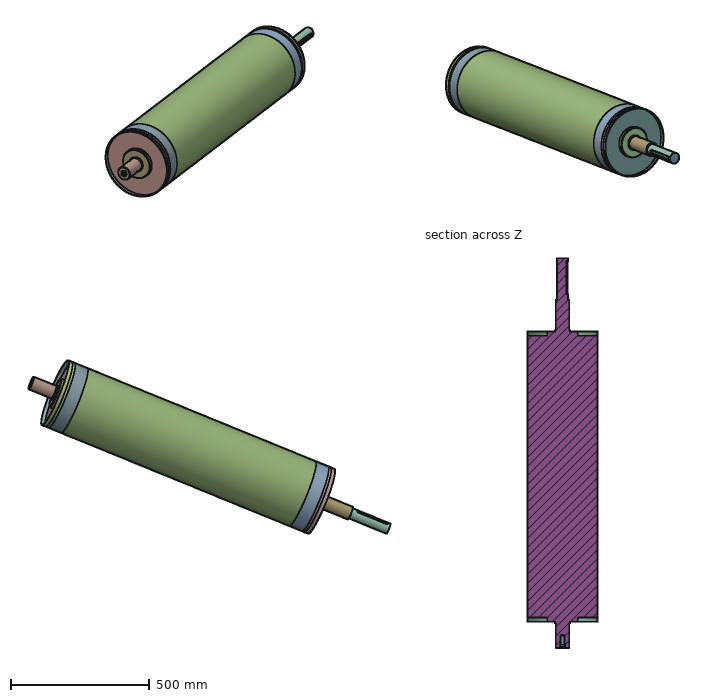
import cadquery as cq
import math

DRUM_LENGTH = 1050.0
DRUM_DIAMETER = 254.0
RIM_WIDTH = 25.0
BAND_WIDTH = 50.0
BAND_DIAMETER = 253.98

RECESS_DIAMETER = 250.0
RECESS_DEPTH = 15.0
HUB_DIAMETER = 112.0
HUB_CHAMFER = 2.0

COLLAR_DIAMETER = 55.0
COLLAR_PROJECTION = 5.0
JOURNAL_DIAMETER = 50.0
IDLE_JOURNAL_LENGTH = 90.0
DRIVE_JOURNAL_LENGTH = 110.0
DRIVE_END_DIAMETER = 40.0
DRIVE_END_LENGTH = 150.0
SHAFT_END_CHAMFER = 2.0

KEYWAY_WIDTH = 12.0
KEYWAY_DEPTH = 5.0
KEYWAY_LENGTH = 120.0
KEYWAY_END_DISTANCE = 10.0

COUNTERSINK_DIAMETER = 22.8
COUNTERSINK_ANGLE = 60.0
ENTRY_DIAMETER = 17.0
ENTRY_DEPTH = 12.0
CORE_DIAMETER = 13.84
CORE_DEPTH = 45.0
DRILL_POINT_ANGLE = 120.0

CUT_CLEARANCE = 1.0

HALF_DRUM = DRUM_LENGTH / 2
COLLAR_END = HALF_DRUM + COLLAR_PROJECTION
IDLE_SHAFT_END = -(COLLAR_END + IDLE_JOURNAL_LENGTH)
DRIVE_JOURNAL_END = COLLAR_END + DRIVE_JOURNAL_LENGTH
DRIVE_SHAFT_END = DRIVE_JOURNAL_END + DRIVE_END_LENGTH


def cylinder(diameter, y_start, y_end):
    """Solid cylinder on the Y axis between two Y positions."""
    axis = cq.Vector(0, 1, 0)
    start = cq.Vector(0, y_start, 0)
    return cq.Workplane(cq.Solid.makeCylinder(diameter / 2, y_end - y_start, start, axis))


def ring(outer_diameter, inner_diameter, y_start, y_end):
    """Hollow cylinder on the Y axis between two Y positions."""
    return cylinder(outer_diameter, y_start, y_end).cut(cylinder(inner_diameter, y_start, y_end))


def drum():
    """Drum with reduced bands near its ends and a recess around a hub in each face."""
    body = cylinder(DRUM_DIAMETER, -HALF_DRUM, HALF_DRUM)
    band_outer = HALF_DRUM - RIM_WIDTH
    band_inner = band_outer - BAND_WIDTH
    recess_floor = HALF_DRUM - RECESS_DEPTH
    band_cut = ring(DRUM_DIAMETER + CUT_CLEARANCE, BAND_DIAMETER, band_inner, band_outer)
    recess = cylinder(RECESS_DIAMETER, recess_floor, HALF_DRUM)
    hub = cylinder(HUB_DIAMETER, recess_floor, HALF_DRUM).faces(">Y").chamfer(HUB_CHAMFER)
    end_cut = band_cut.union(recess.cut(hub))
    return body.cut(end_cut).cut(end_cut.mirror("XZ"))


def shaft():
    """Stepped shaft through the drum."""
    collars = cylinder(COLLAR_DIAMETER, -COLLAR_END, COLLAR_END)
    journals = cylinder(JOURNAL_DIAMETER, IDLE_SHAFT_END, DRIVE_JOURNAL_END)
    journals = journals.faces("<Y").chamfer(SHAFT_END_CHAMFER)
    drive_end = cylinder(DRIVE_END_DIAMETER, DRIVE_JOURNAL_END, DRIVE_SHAFT_END)
    return collars.union(journals).union(drive_end)


def keyway():
    """Round-ended slot cut inward from the +X side of the drive end."""
    floor_x = DRIVE_END_DIAMETER / 2 - KEYWAY_DEPTH
    middle_y = DRIVE_SHAFT_END - KEYWAY_END_DISTANCE - KEYWAY_LENGTH / 2
    return (
        cq.Workplane("YZ", origin=(floor_x, middle_y, 0))
        .slot2D(KEYWAY_LENGTH, KEYWAY_WIDTH)
        .extrude(KEYWAY_DEPTH)
    )


def cone(start_diameter, end_diameter, included_angle, y_start):
    """Cone on the Y axis that narrows toward +Y from a Y position."""
    start_radius = start_diameter / 2
    end_radius = end_diameter / 2
    length = (start_radius - end_radius) / math.tan(math.radians(included_angle / 2))
    start = cq.Vector(0, y_start, 0)
    return cq.Workplane(cq.Solid.makeCone(start_radius, end_radius, length, start, cq.Vector(0, 1, 0)))


def centre_hole():
    """Countersunk, stepped hole with a conical bottom, entering the -Y shaft end."""
    core_bottom = IDLE_SHAFT_END + CORE_DEPTH
    countersink = cone(COUNTERSINK_DIAMETER, ENTRY_DIAMETER, COUNTERSINK_ANGLE, IDLE_SHAFT_END)
    entry = cylinder(ENTRY_DIAMETER, IDLE_SHAFT_END, IDLE_SHAFT_END + ENTRY_DEPTH)
    core = cylinder(CORE_DIAMETER, IDLE_SHAFT_END, core_bottom)
    drill_point = cone(CORE_DIAMETER, 0, DRILL_POINT_ANGLE, core_bottom)
    return countersink.union(entry).union(core).union(drill_point)


result = drum().union(shaft()).cut(keyway()).cut(centre_hole())